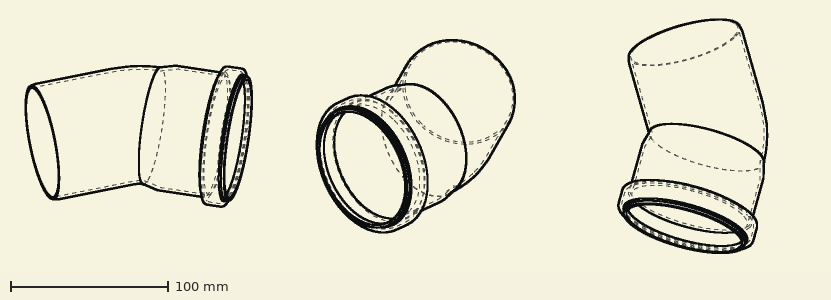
import cadquery as cq

BEND_ANGLE = 30.0
BEND_RADIUS = 37.9

PIPE_OD = 75.2
PIPE_ID = 71.0
SPIGOT_LENGTH = 53.4
SPIGOT_TAPER_LENGTH = 3.4
SPIGOT_TAPER_DEPTH = 0.7

SOCKET_OD = 80.3
SOCKET_ID = 76.3
COLLAR_OD = 75.9
COLLAR_LENGTH = 0.8
FLARE_END = 8.8
INNER_FLARE_END = 10.5
SOCKET_LENGTH = 55.2
LIP_OD = 79.9
LIP_TAPER_LENGTH = 1.3

BEAD_OD = 89.2
BEAD_START = 40.5
BEAD_END = 52.2
BEAD_ROUND = 1.3
GROOVE_DIAMETER = 85.3
GROOVE_START = 41.9
GROOVE_END = 50.9
GROOVE_ROUND = 1.1
GROOVE_LEAD_DEPTH = 0.4
GROOVE_LEAD_LENGTH = 1.4
BEAD_FOOT = 1.3
BEAD_FOOT_OD = 81.7

spigot_plane = cq.Plane(origin=(0, 0, 0), xDir=(1, 0, 0), normal=(0, 1, 0))
elbow_plane = cq.Plane(origin=(0, SPIGOT_LENGTH, 0), xDir=(1, 0, 0), normal=(0, 1, 0))


def at_socket(body):
    """Move a body built along +Y from the origin onto the socket axis."""
    pivot = (BEND_RADIUS, SPIGOT_LENGTH, 0)
    pivot_end = (BEND_RADIUS, SPIGOT_LENGTH, 1)
    return body.translate((0, SPIGOT_LENGTH, 0)).rotate(pivot, pivot_end, -BEND_ANGLE)


def revolved(profile):
    """Revolve (radius, position) points, closed by the axis, around Y."""
    points = [(0, profile[0][1])] + profile + [(0, profile[-1][1])]
    return cq.Workplane("XY").polyline(points).close().revolve(360, (0, 0), (0, 1))


def cylinder(diameter, start, end):
    return cq.Workplane(spigot_plane).workplane(offset=start).circle(diameter / 2).extrude(end - start)


def elbow(diameter):
    return (
        cq.Workplane(elbow_plane)
        .circle(diameter / 2)
        .revolve(BEND_ANGLE, (BEND_RADIUS, 0), (BEND_RADIUS, 1))
    )


def outer_body():
    spigot = revolved([
        (PIPE_OD / 2 - SPIGOT_TAPER_DEPTH, 0),
        (PIPE_OD / 2, SPIGOT_TAPER_LENGTH),
        (PIPE_OD / 2, SPIGOT_LENGTH),
    ])
    socket = revolved([
        (COLLAR_OD / 2, -COLLAR_LENGTH),
        (COLLAR_OD / 2, 0),
        (SOCKET_OD / 2, FLARE_END),
        (SOCKET_OD / 2, SOCKET_LENGTH - LIP_TAPER_LENGTH),
        (LIP_OD / 2, SOCKET_LENGTH),
    ])
    bead = cylinder(BEAD_OD, BEAD_START, BEAD_END).edges("%CIRCLE").fillet(BEAD_ROUND)
    foot = revolved([
        (SOCKET_OD / 2, BEAD_START - BEAD_FOOT),
        (BEAD_FOOT_OD / 2, BEAD_START),
        (BEAD_FOOT_OD / 2, BEAD_END),
        (SOCKET_OD / 2, BEAD_END + BEAD_FOOT),
    ])
    return spigot.union(elbow(PIPE_OD)).union(at_socket(socket.union(bead).union(foot)))


def inner_bore():
    spigot = cylinder(PIPE_ID, 0, SPIGOT_LENGTH)
    socket = revolved([
        (PIPE_ID / 2, 0),
        (SOCKET_ID / 2, INNER_FLARE_END),
        (SOCKET_ID / 2, SOCKET_LENGTH),
    ])
    groove = cylinder(GROOVE_DIAMETER, GROOVE_START, GROOVE_END).edges("%CIRCLE").fillet(GROOVE_ROUND)
    lead_in = revolved([
        (SOCKET_ID / 2 + GROOVE_LEAD_DEPTH, GROOVE_END),
        (SOCKET_ID / 2, GROOVE_END + GROOVE_LEAD_LENGTH),
    ])
    return spigot.union(elbow(PIPE_ID)).union(at_socket(socket.union(groove).union(lead_in)))


result = outer_body().cut(inner_bore())